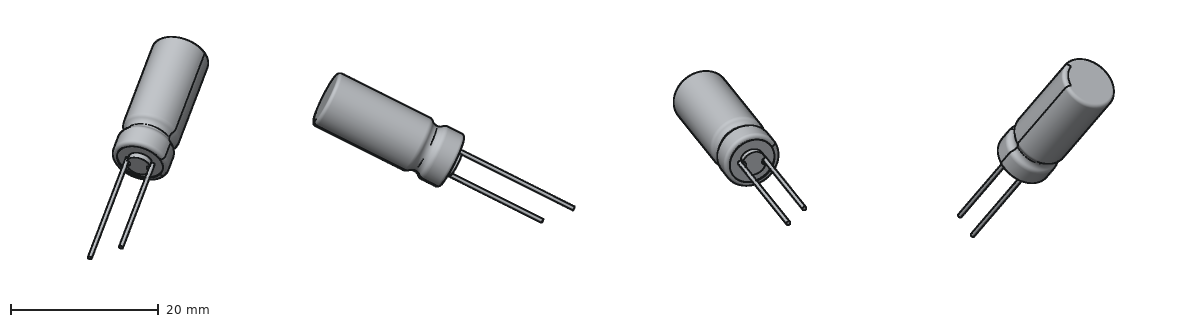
import cadquery as cq
import math


can_radius = 4.0
can_length = 19.3
rim_fillet = 0.5
shell_inner_radius = 3.25

groove_center = 4.05
groove_depth = 0.577
groove_half_width = 1.39
groove_valley_half = 0.78

stripe_half_angle = 30.0

plug_recess = 0.2
plug_depth = groove_center
boss_radius = 1.75
boss_projection = 0.65
notch_radius = 0.6

lead_radius = 0.3
lead_offset = 1.758
long_lead_end = -(37 - can_length)
short_lead_end = long_lead_end + 2.95


def y_cylinder(radius, y_start, y_end, x=0):
    """Cylinder parallel to Y between two Y positions."""
    return (
        cq.Workplane("XZ", origin=(x, y_start, 0))
        .circle(radius)
        .extrude(y_start - y_end)
    )


def make_envelope():
    """Solid of revolution with rounded rims and the crimp groove."""
    slope = 2 * math.atan(groove_depth / groove_half_width)
    valley_radius = groove_valley_half / math.sin(slope)
    shoulder_half = groove_half_width - groove_valley_half
    shoulder_radius = shoulder_half / math.sin(slope)
    floor = can_radius - groove_depth
    inflection = floor + valley_radius * (1 - math.cos(slope))
    shoulder_mid_step = shoulder_radius * math.sin(slope / 2)
    shoulder_mid = can_radius - shoulder_radius * (1 - math.cos(slope / 2))
    valley_mid_step = valley_radius * math.sin(slope / 2)
    valley_mid = floor + valley_radius * (1 - math.cos(slope / 2))
    groove_front = groove_center - groove_half_width
    groove_back = groove_center + groove_half_width
    valley_front = groove_center - groove_valley_half
    valley_back = groove_center + groove_valley_half
    face_radius = can_radius - rim_fillet
    rim_mid = rim_fillet * (1 - math.sqrt(0.5))

    return (
        cq.Workplane("XY")
        .moveTo(0, 0)
        .lineTo(face_radius, 0)
        .threePointArc((can_radius - rim_mid, rim_mid), (can_radius, rim_fillet))
        .lineTo(can_radius, groove_front)
        .threePointArc((shoulder_mid, groove_front + shoulder_mid_step), (inflection, valley_front))
        .threePointArc((valley_mid, groove_center - valley_mid_step), (floor, groove_center))
        .threePointArc((valley_mid, groove_center + valley_mid_step), (inflection, valley_back))
        .threePointArc((shoulder_mid, groove_back - shoulder_mid_step), (can_radius, groove_back))
        .lineTo(can_radius, can_length - rim_fillet)
        .threePointArc((can_radius - rim_mid, can_length - rim_mid), (face_radius, can_length))
        .lineTo(0, can_length)
        .close()
        .revolve(360, (0, 0, 0), (0, 1, 0))
    )


def make_stripe(envelope):
    """Curved polarity stripe: an angular slice of the outer shell."""
    reach = 2 * can_radius
    half_height = reach * math.tan(math.radians(stripe_half_angle))
    sector = (
        cq.Workplane("XZ")
        .polyline([(0, 0), (reach, half_height), (reach, -half_height)])
        .close()
        .extrude(-can_length)
    )
    core = y_cylinder(shell_inner_radius, 0, can_length)
    return envelope.intersect(sector).cut(core)


def make_can(envelope, stripe):
    """Can body with a front bore for the plug and a channel for the stripe."""
    bore = y_cylinder(shell_inner_radius, 0, plug_depth)
    return envelope.cut(stripe).cut(bore)


def make_plug():
    """Sealing plug with a front boss notched around both leads."""
    plug = y_cylinder(shell_inner_radius, plug_recess, plug_depth)
    boss = y_cylinder(boss_radius, -boss_projection, plug_recess)
    for x in (-lead_offset, lead_offset):
        boss = boss.cut(y_cylinder(notch_radius, -boss_projection, plug_recess, x))
    return plug.union(boss)


def make_lead(x, y_end):
    """Round wire lead butting against the plug face."""
    return y_cylinder(lead_radius, y_end, plug_recess, x)


envelope = make_envelope()
stripe = make_stripe(envelope)
can = make_can(envelope, stripe)
plug = make_plug()
leads = []
for x, y_end in ((-lead_offset, long_lead_end), (lead_offset, short_lead_end)):
    leads.append(make_lead(x, y_end).val())

result = cq.Compound.makeCompound([can.val(), stripe.val(), plug.val(), *leads])